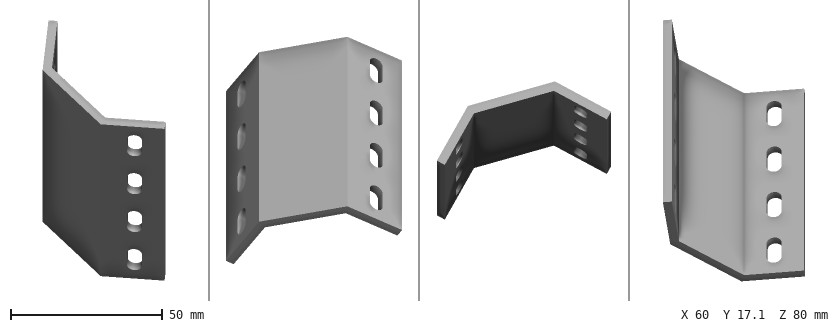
import cadquery as cq
import math

length = 80.0
overall_width = 60.0
web_width = 30.0
overall_depth = 17.1
bend_angle = 45.0

slot_count = 4
slot_pitch = length / slot_count
slot_width = 5.0
slot_length = 11.0
slot_edge_distance = 10.0

angle = math.radians(bend_angle)
half_width = overall_width / 2
half_web = web_width / 2
flange_rise = (half_width - half_web) * math.tan(angle)
thickness = (overall_depth - flange_rise) / math.cos(angle)
tip_x = half_width - thickness * math.sin(angle)
inner_half_web = half_web - thickness * math.tan(angle / 2)


def channel():
    """Sharp-cornered web with two sloping flanges, standing along Z."""
    right_side = [
        (half_web, 0),
        (half_width, flange_rise),
        (tip_x, overall_depth),
        (inner_half_web, thickness),
    ]
    left_side = [(-x, y) for x, y in reversed(right_side)]
    return cq.Workplane("XY").polyline(right_side + left_side).close().extrude(length)


def flange_slots(side):
    """Vertical slot cutters square to one flange; side is +1 or -1 in X."""
    outer_face = cq.Plane(
        origin=(
            side * (half_width - slot_edge_distance * math.cos(angle)),
            flange_rise - slot_edge_distance * math.sin(angle),
            length / 2,
        ),
        xDir=(0, 0, 1),
        normal=(-side * math.sin(angle), math.cos(angle), 0),
    )
    return (
        cq.Workplane(outer_face)
        .rarray(slot_pitch, 0.8, slot_count, 1)
        .slot2D(slot_length, slot_width)
        .extrude(thickness, both=True)
    )


result = channel()
for side in (-1, 1):
    result = result.cut(flange_slots(side))